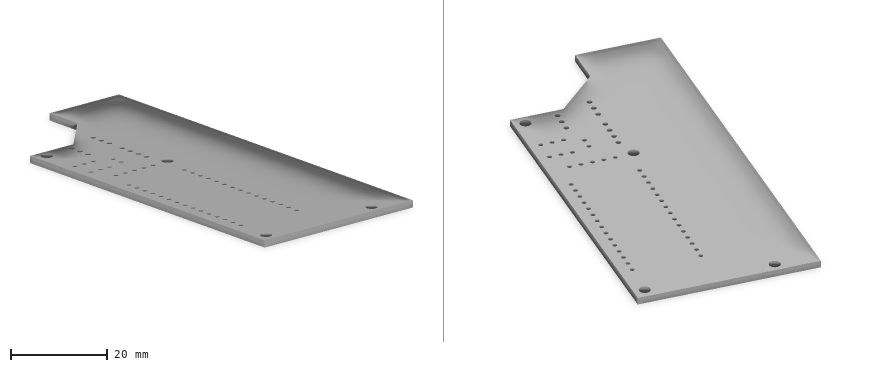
import cadquery as cq

length = 93.0
width = 40.7
thickness = 1.6

step_y = 21.6
slope_start_x = 8.8
slope_end_y = 11.8
lower_edge_x = 18.8

mounting_diameter = 2.5
terminal_diameter = 1.2
pin_diameter = 1.0

header_count = 15
header_length = 35.5
pitch = header_length / (header_count - 1)

mounting_edge = 2.5
mounting_points = [
    (21.1, mounting_edge),
    (length - mounting_edge, mounting_edge),
    (90.8, 31.3),
    (39.9, 19.35),
]

terminal_y = 17.9
upper_terminal_x = 18.1
second_terminal_x = 27.35
lower_terminal_x = 20.7
lower_terminal_y = 9.8

header_x = 46.7
header_y = 2.9
header_row_spacing = 6 * pitch
column_x = 40.2
column_y = 5.0
column_count = 5
pair_x = 31.6
pair_y = 11.6
block_x = 30.05
block_y = 2.5
block_columns = 2
block_rows = 3
block_column_spacing = 2 * pitch


def grid(x, y, columns, rows=1, column_spacing=pitch, row_spacing=pitch):
    """Hole centres counted from the lower left hole at (x, y)."""
    return [
        (x + column * column_spacing, y + row * row_spacing)
        for column in range(columns)
        for row in range(rows)
    ]


def drills(points, diameter):
    """Cylinders that pass through the full board thickness."""
    return cq.Workplane("XY").pushPoints(points).circle(diameter / 2).extrude(thickness)


board = (
    cq.Workplane("XY")
    .moveTo(lower_edge_x, 0)
    .lineTo(length, 0)
    .lineTo(length, width)
    .lineTo(0, width)
    .lineTo(0, step_y)
    .lineTo(slope_start_x, step_y)
    .lineTo(lower_edge_x, slope_end_y)
    .close()
    .extrude(thickness)
)

terminal_points = (
    grid(upper_terminal_x, terminal_y, 3)
    + grid(second_terminal_x, terminal_y, 4)
    + grid(lower_terminal_x, lower_terminal_y, 3)
)

pin_points = (
    grid(header_x, header_y, header_count, 2, row_spacing=header_row_spacing)
    + grid(column_x, column_y, 1, column_count)
    + grid(pair_x, pair_y, 2)
    + grid(block_x, block_y, block_columns, block_rows, block_column_spacing)
)

result = (
    board
    .cut(drills(mounting_points, mounting_diameter))
    .cut(drills(terminal_points, terminal_diameter))
    .cut(drills(pin_points, pin_diameter))
)